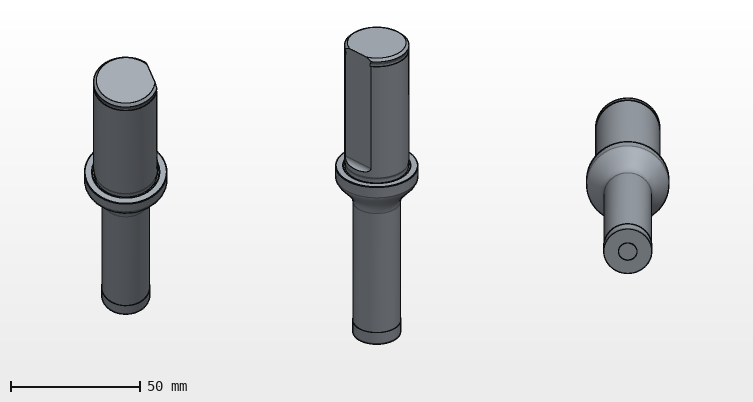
import cadquery as cq

total_height = 132.0
tip_end_height = 0.4
tip_bevel_height = 0.9
joint_height = 5.8
flare_bottom = 59.9
rim_bottom = 71.3
flange_top = 76.2

neck_radius = 9.2
flange_radius = 32.0 / 2
shank_radius = 25.0 / 2
groove_radius = 24.5 / 2
top_face_radius = 11.4

flange_bevel = 0.3
groove_taper = 0.7
lower_groove_top = 78.1
upper_groove_bottom = 128.7
upper_groove_top = 130.4
top_bevel_height = 1.0

recess_radius = 13.2
recess_depth = 0.4

flare_handle_neck = 5.3
flare_handle_rim = 2.9

flat_offset = 10.4
flat_bottom = 80.1
flat_round = 2.1

tip_radius = 9.4
tip_bevel = 0.1
boss_radius = 3.5


def make_holder_body():
    flare_points = [
        (neck_radius, flare_bottom),
        (neck_radius, flare_bottom + flare_handle_neck),
        (flange_radius, rim_bottom - flare_handle_rim),
        (flange_radius, rim_bottom),
    ]
    return (
        cq.Workplane("XZ")
        .moveTo(0, joint_height)
        .lineTo(neck_radius, joint_height)
        .lineTo(*flare_points[0])
        .bezier(flare_points)
        .lineTo(flange_radius, flange_top - flange_bevel)
        .lineTo(flange_radius - flange_bevel, flange_top)
        .lineTo(recess_radius, flange_top)
        .lineTo(recess_radius - recess_depth, flange_top - recess_depth)
        .lineTo(groove_radius, flange_top - recess_depth)
        .lineTo(groove_radius, lower_groove_top - groove_taper)
        .lineTo(shank_radius, lower_groove_top)
        .lineTo(shank_radius, upper_groove_bottom)
        .lineTo(groove_radius, upper_groove_bottom)
        .lineTo(groove_radius, upper_groove_top - groove_taper)
        .lineTo(shank_radius, upper_groove_top)
        .lineTo(shank_radius, total_height - top_bevel_height)
        .lineTo(top_face_radius, total_height)
        .lineTo(0, total_height)
        .close()
        .revolve(360, (0, 0, 0), (0, 1, 0))
    )


def make_flat_cutter():
    """Block that cuts the flat and leaves a round at its lower end."""
    return (
        cq.Workplane("XY")
        .box(2 * shank_radius, shank_radius, total_height - flat_bottom, centered=(True, False, False))
        .translate((0, flat_offset, flat_bottom))
        .edges("<Y and <Z")
        .fillet(flat_round)
    )


def make_holder():
    return make_holder_body().cut(make_flat_cutter())


def make_tip():
    return (
        cq.Workplane("XZ")
        .moveTo(0, 0)
        .lineTo(boss_radius, 0)
        .lineTo(boss_radius, tip_end_height)
        .lineTo(tip_radius - tip_bevel, tip_end_height)
        .lineTo(tip_radius, tip_bevel_height)
        .lineTo(tip_radius, joint_height)
        .lineTo(0, joint_height)
        .close()
        .revolve(360, (0, 0, 0), (0, 1, 0))
    )


holder = make_holder()
tip = make_tip()
result = cq.Compound.makeCompound([holder.val(), tip.val()])